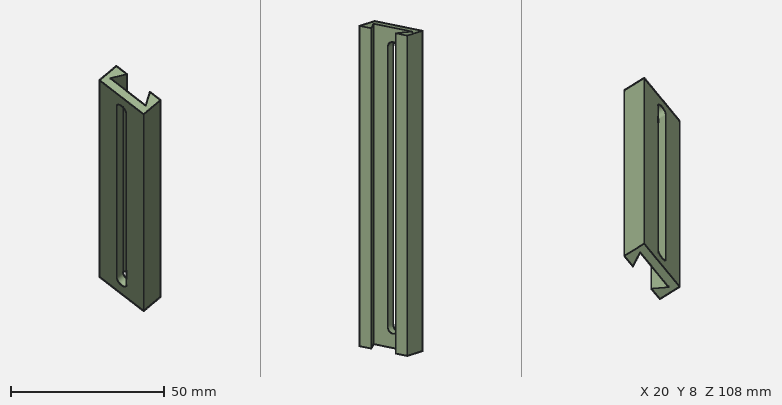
import cadquery as cq
import math

width = 20.0
depth = 8.0
length = 108.0

web_thickness = 3.0
groove_floor_width = 16.0
flank_angle = 60.0

slot_width = 4.3
slot_end_margin = 4.9
slot_length = length - 2 * slot_end_margin


def rail_blank():
    return cq.Workplane("XY").box(width, depth, length, centered=(True, False, False))


def dovetail_groove():
    flank_run = (depth - web_thickness) / math.tan(math.radians(flank_angle))
    half_floor = groove_floor_width / 2
    half_mouth = half_floor - flank_run
    return (
        cq.Workplane("XY")
        .moveTo(-half_floor, web_thickness)
        .lineTo(half_floor, web_thickness)
        .lineTo(half_mouth, depth)
        .lineTo(-half_mouth, depth)
        .close()
        .extrude(length)
    )


def web_slot():
    return (
        cq.Workplane("XZ", origin=(0, 0, length / 2))
        .slot2D(slot_length, slot_width, angle=90)
        .extrude(-depth)
    )


result = rail_blank().cut(dovetail_groove()).cut(web_slot())